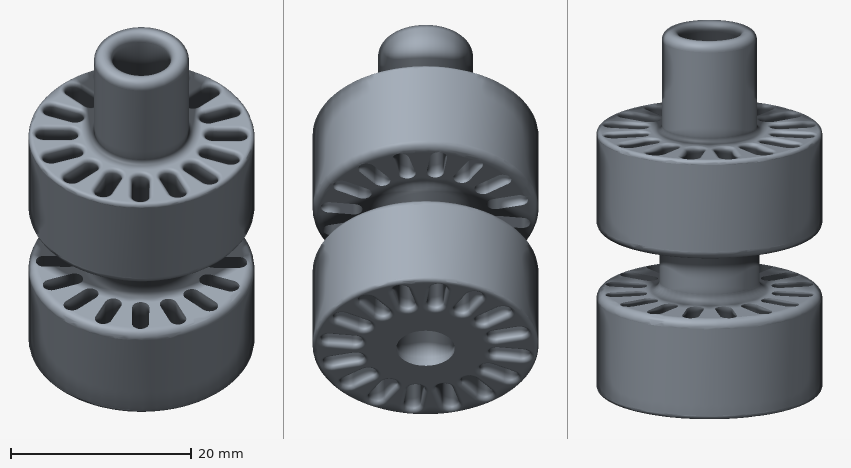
import cadquery as cq
import math

total_height = 41.4
flange_height = 11.5
gap_height = 6.95
upper_flange_base = flange_height + gap_height
upper_flange_top = upper_flange_base + flange_height

flange_radius = 25.1 / 2
neck_radius = 11.15 / 2
spigot_radius = 10.55 / 2
bore_radius = 6.5 / 2

large_round = 1.0
small_round = 0.5

slot_count = 16
slot_width = 1.9
slot_length = 4.68
slot_pitch_radius = 9.4


def cylinder(radius, base, top):
    """Cylinder on the Z axis between two heights."""
    return cq.Workplane("XY").workplane(offset=base).circle(radius).extrude(top - base)


def flange(base, lower_round, upper_round):
    """Flange disc with its two rims rounded."""
    disc = cylinder(flange_radius, base, base + flange_height)
    return disc.faces("<Z").edges().fillet(lower_round).faces(">Z").edges().fillet(upper_round)


def root_collar(shaft_radius, root_round, face_height, direction):
    """Concave ring that blends a shaft into a flange face; direction is +1 upward, -1 downward."""
    outer_radius = shaft_radius + root_round
    collar_end = face_height + direction * root_round
    arc_offset = root_round * (1 - math.cos(math.radians(45)))
    return (
        cq.Workplane("XZ")
        .moveTo(bore_radius, face_height)
        .lineTo(outer_radius, face_height)
        .threePointArc(
            (shaft_radius + arc_offset, face_height + direction * arc_offset),
            (shaft_radius, collar_end),
        )
        .lineTo(bore_radius, collar_end)
        .close()
        .revolve(360, (0, 0, 0), (0, 1, 0))
    )


def make_body():
    """Two flanges joined by a neck, with a rounded tubular spigot on top."""
    spigot = cylinder(spigot_radius, upper_flange_top, total_height)
    bore = cylinder(bore_radius, 0, total_height)
    body = (
        flange(0, small_round, large_round)
        .union(flange(upper_flange_base, large_round, small_round))
        .union(cylinder(neck_radius, flange_height, upper_flange_base))
        .union(spigot)
        .union(root_collar(neck_radius, large_round, flange_height, 1))
        .union(root_collar(neck_radius, large_round, upper_flange_base, -1))
        .union(root_collar(spigot_radius, small_round, upper_flange_top, 1))
        .cut(bore)
    )
    return body.faces(">Z").edges().fillet(large_round)


def make_slot_cutter():
    """Slot on the +X side through both flanges, flared where it meets the outer end faces."""
    block_margin = 2 * small_round
    block = (
        cq.Workplane("XY")
        .center(slot_pitch_radius, 0)
        .rect(slot_length + 2 * block_margin, slot_width + 2 * block_margin)
        .extrude(upper_flange_top)
    )
    slot = (
        cq.Workplane("XY")
        .center(slot_pitch_radius, 0)
        .slot2D(slot_length, slot_width)
        .extrude(upper_flange_top)
    )
    rounded_block = block.cut(slot).edges("%CIRCLE").fillet(small_round)
    return block.cut(rounded_block)


result = make_body()
slot_cutter = make_slot_cutter()
for index in range(slot_count):
    angle = index * 360 / slot_count
    result = result.cut(slot_cutter.rotate((0, 0, 0), (0, 0, 1), angle))